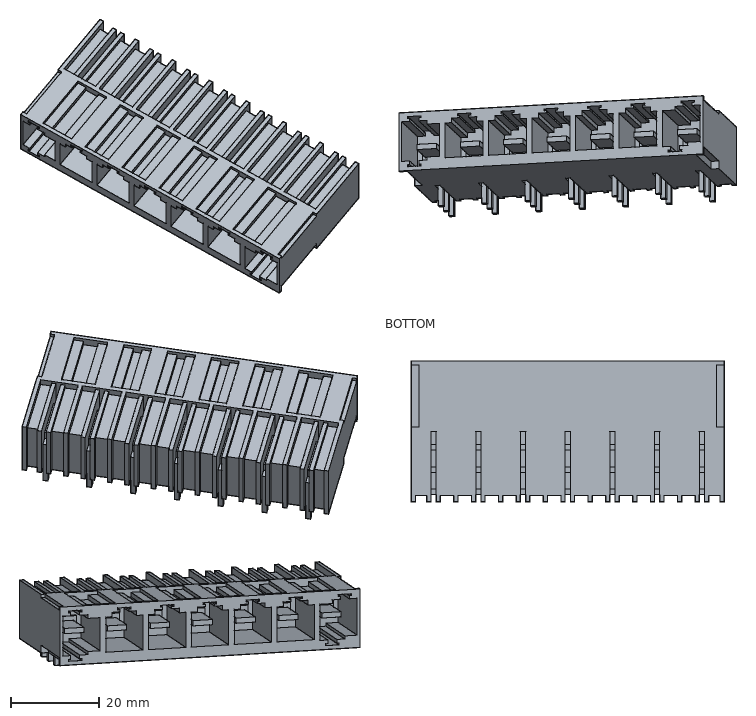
import cadquery as cq

length = 71.1
depth = 32.0
height = 13.6
pole_count = 7
pitch = length / pole_count

cavity_depth = 15.0
cavity_half_width = 4.4
inner_floor_z = 2.5
shoulder_z = 10.6
inner_crown_z = 11.65
inner_crown_half_width = 2.9
end_crown_z = 11.45
end_floor_z = 2.2
end_ledge_z = 2.9
end_step_offset = 1.5

key_neck_half_width = 1.1
key_head_half_width = 1.6
key_head_height = 0.4
roof_key_top_z = 12.6
floor_key_bottom_z = 0.9
end_key_offset = 1.5

front_lip = 0.9
top_notch_width = 1.0
bottom_notch_width = 1.8
top_notch_height = 0.8
bottom_notch_height = 1.8
groove_half_width = 3.2
groove_core_half_width = 1.0
end_groove_half_width = 4.6
end_groove_core_half_width = 2.4
groove_shelf_z = height - top_notch_height
groove_core_z = 11.7

rear_start = 16.1
wall_thickness = 1.0
rib_thickness = 1.0
rib_top_z = 13.0
rear_floor_z = 12.1
rear_floor_end = 30.6

collar_width = 6.05
collar_height = 3.3
collar_length = 1.0

contact_thickness = 1.15
contact_end = 30.4
contact_z = 6.75
tab_width = 4.55
tab_thickness = 1.2
tab_tip = 5.7
hump_start = 18.7
hump_end = 28.4
hump_top_z = 9.25
pin_count = 3
pin_pitch = 5.05
pin_width = 1.3
pin_length = 4.0

pole_centers = [(i + 0.5) * pitch for i in range(pole_count)]


def block(x0, x1, y0, y1, z0, z1):
    """Box between opposite corners."""
    return cq.Workplane("XY").box(x1 - x0, y1 - y0, z1 - z0, centered=False).translate((x0, y0, z0))


def centered_block(x, width, y0, y1, z0, z1):
    """Box with its width centred on x."""
    return block(x - width / 2, x + width / 2, y0, y1, z0, z1)


def key_slot(x, mouth_z, end_z):
    """T slot running from its mouth in the cavity to its wide closed end, upward or downward."""
    head_z = end_z - key_head_height if end_z > mouth_z else end_z + key_head_height
    neck_levels = sorted([mouth_z, head_z])
    head_levels = sorted([head_z, end_z])
    neck = centered_block(x, 2 * key_neck_half_width, 0, cavity_depth, *neck_levels)
    head = centered_block(x, 2 * key_head_half_width, 0, cavity_depth, *head_levels)
    return neck.union(head)


def inner_cavity(x):
    """Symmetric cavity with a raised crown and one coding slot in the roof."""
    chamber = centered_block(x, 2 * cavity_half_width, 0, cavity_depth, inner_floor_z, shoulder_z)
    crown = centered_block(x, 2 * inner_crown_half_width, 0, cavity_depth, shoulder_z, inner_crown_z)
    return chamber.union(crown).union(key_slot(x, inner_crown_z, roof_key_top_z))


def end_cavity(x, outward):
    """Cavity of an end pole; outward is -1 at the left end and +1 at the right end.

    The roof is mirrored between the two ends, the floor is the same at both.
    """
    chamber = centered_block(x, 2 * cavity_half_width, 0, cavity_depth, end_ledge_z, shoulder_z)
    crown_edges = sorted([x + outward * cavity_half_width, x - outward * end_step_offset])
    crown = block(*crown_edges, 0, cavity_depth, shoulder_z, end_crown_z)
    sunken_edges = [x - cavity_half_width, x + end_step_offset]
    sunken_floor = block(*sunken_edges, 0, cavity_depth, end_floor_z, end_ledge_z)
    roof_key = key_slot(x + outward * end_key_offset, end_crown_z, roof_key_top_z)
    floor_key = key_slot(x - end_key_offset, end_floor_z, floor_key_bottom_z)
    return chamber.union(crown).union(sunken_floor).union(roof_key).union(floor_key)


def tab_collar(x):
    """Raised collar on the cavity rear wall."""
    return centered_block(
        x, collar_width, cavity_depth - collar_length, cavity_depth,
        contact_z - collar_height / 2, contact_z + collar_height / 2,
    )


def roof_groove(boundary):
    """Stepped groove over the wall between two poles, wider toward an end pole."""
    first = boundary == 1
    last = boundary == pole_count - 1
    left = end_groove_half_width if first else groove_half_width
    core_left = end_groove_core_half_width if first else groove_core_half_width
    right = end_groove_half_width if last else groove_half_width
    core_right = end_groove_core_half_width if last else groove_core_half_width
    x = boundary * pitch
    shelf = block(x - left, x + right, front_lip, cavity_depth, groove_shelf_z, height)
    core = block(x - core_left, x + core_right, front_lip, cavity_depth, groove_core_z, height)
    return shelf.union(core)


def end_notches(outer_x, inward):
    """Notches along the top and bottom edges of an end face; inward is the X direction into the housing."""
    top_edges = sorted([outer_x, outer_x + inward * top_notch_width])
    bottom_edges = sorted([outer_x, outer_x + inward * bottom_notch_width])
    top = block(*top_edges, front_lip, cavity_depth, height - top_notch_height, height)
    bottom = block(*bottom_edges, front_lip, cavity_depth, 0, bottom_notch_height)
    return top.union(bottom)


def rear_openings(x, pole):
    """Pockets beside the ribs, the contact channel between them, and the cut that lowers the ribs."""
    left = wall_thickness if pole == 0 else pole * pitch + wall_thickness / 2
    right = length - wall_thickness if pole == pole_count - 1 else (pole + 1) * pitch - wall_thickness / 2
    rib_outside = contact_thickness / 2 + rib_thickness
    openings = block(left, right, rear_start, depth, rib_top_z, height)
    for x0, x1 in [(left, x - rib_outside), (x + rib_outside, right)]:
        openings = openings.union(block(x0, x1, rear_start, depth, rear_floor_z, height))
        openings = openings.union(block(x0, x1, rear_floor_end, depth, 0, height))
    channel = centered_block(x, contact_thickness, rear_start, depth, 0, height)
    return openings.union(channel)


def contact_tab(x):
    """Flat tab from its tip in the cavity to the front of the contact channel."""
    return centered_block(
        x, tab_width, tab_tip, rear_start,
        contact_z - tab_thickness / 2, contact_z + tab_thickness / 2,
    )


def make_contact(x):
    """Contact with a tab in front, an upright plate in the channel and a row of solder pins."""
    beam_bottom_z = contact_z - tab_thickness / 2
    beam = centered_block(
        x, contact_thickness, rear_start, contact_end, beam_bottom_z, contact_z + tab_thickness / 2
    )
    hump = centered_block(x, contact_thickness, hump_start, hump_end, contact_z, hump_top_z)
    contact = contact_tab(x).union(beam).union(hump)
    for pin in range(pin_count):
        pin_rear = contact_end - pin * pin_pitch
        contact = contact.union(
            centered_block(x, contact_thickness, pin_rear - pin_width, pin_rear, -pin_length, beam_bottom_z)
        )
    return contact.val().Solids()[0]


def make_housing():
    """Block with the cavities, collars, rear comb, roof grooves and end notches."""
    housing = block(0, length, 0, depth, 0, height)
    for pole, x in enumerate(pole_centers):
        if pole == 0:
            cavity = end_cavity(x, -1)
        elif pole == pole_count - 1:
            cavity = end_cavity(x, 1)
        else:
            cavity = inner_cavity(x)
        housing = housing.cut(cavity).union(tab_collar(x))
        housing = housing.cut(rear_openings(x, pole)).cut(contact_tab(x))
    for boundary in range(1, pole_count):
        housing = housing.cut(roof_groove(boundary))
    for outer_x, inward in [(0, 1), (length, -1)]:
        housing = housing.cut(end_notches(outer_x, inward))
    return housing.val().Solids()[0]


housing = make_housing()
contacts = [make_contact(x) for x in pole_centers]

result = cq.Compound.makeCompound([housing, *contacts])